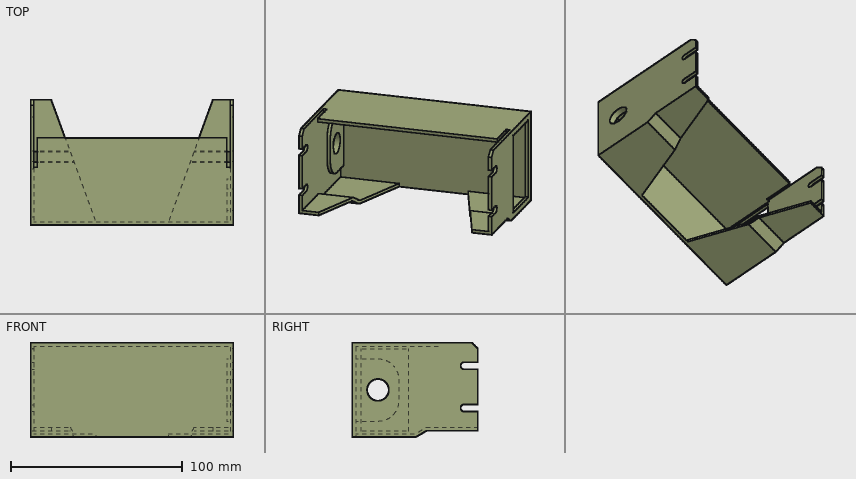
import cadquery as cq
import math

WIDTH = 118.0
DEPTH = 73.0
HEIGHT = 55.0
SHEET = 2.0

TOP_DEPTH = 50.7
GAP_FRONT_Y = 33.6

STEP_RISE = 3.7
STEP_FRONT_Y = 37.0
STEP_BACK_Y = 43.2

FLANGE_BACK_WIDTH = 12.0
FLANGE_TAPER_ANGLE = 20

SLOT_WIDTH = 4.0
SLOT_DEPTH = 9.9
SLOT_HEIGHTS = (17.0, 41.5)
WALL_CHAMFER = 3.4

WINDOW_FRONT_Y = 5.0
WINDOW_BACK_Y = 32.7
WINDOW_MARGIN = 3.7

PAD_HEIGHT = 36.2
PAD_RADIUS = 12.0
HOLE_DIAMETER = 12.5
HOLE_Y = 15.0
PAD_BACK_Y = HOLE_Y + PAD_RADIUS

MID_Z = HEIGHT / 2


def box(x_range, y_range, z_range):
    """Box spanning the given (low, high) ranges."""
    (x0, x1), (y0, y1), (z0, z1) = x_range, y_range, z_range
    return cq.Workplane("XY").box(x1 - x0, y1 - y0, z1 - z0, centered=False).translate((x0, y0, z0))


def side_wall(x):
    """Side wall with a stepped lower edge, starting at x."""
    outline = [
        (0, 0),
        (STEP_FRONT_Y, 0),
        (STEP_BACK_Y, STEP_RISE),
        (DEPTH, STEP_RISE),
        (DEPTH, HEIGHT - WALL_CHAMFER),
        (DEPTH - WALL_CHAMFER, HEIGHT),
        (0, HEIGHT),
    ]
    wall = cq.Workplane("YZ", origin=(x, 0, 0)).polyline(outline).close().extrude(SHEET)
    for z in SLOT_HEIGHTS:
        slot = (
            cq.Workplane("YZ", origin=(x, DEPTH, z))
            .slot2D(2 * SLOT_DEPTH, SLOT_WIDTH)
            .extrude(SHEET)
        )
        wall = wall.cut(slot)
    return wall


def top_panel():
    """Top panel, separated from the side walls by a gap at the back."""
    z_range = (HEIGHT - SHEET, HEIGHT)
    joined_part = box((0, WIDTH), (0, GAP_FRONT_Y), z_range)
    free_part = box((2 * SHEET, WIDTH - 2 * SHEET), (0, TOP_DEPTH), z_range)
    return joined_part.union(free_part)


def floor_flanges():
    """Stepped floor, cut by a tapered opening into a left and a right flange."""
    bend_angle = math.atan2(STEP_RISE, STEP_BACK_Y - STEP_FRONT_Y)
    bend_shift = SHEET * math.tan(bend_angle / 2)
    profile = [
        (0, 0),
        (STEP_FRONT_Y, 0),
        (STEP_BACK_Y, STEP_RISE),
        (DEPTH, STEP_RISE),
        (DEPTH, STEP_RISE + SHEET),
        (STEP_BACK_Y - bend_shift, STEP_RISE + SHEET),
        (STEP_FRONT_Y - bend_shift, SHEET),
        (0, SHEET),
    ]
    floor = cq.Workplane("YZ").polyline(profile).close().extrude(WIDTH)
    front_width = FLANGE_BACK_WIDTH + DEPTH * math.tan(math.radians(FLANGE_TAPER_ANGLE))
    opening = (
        cq.Workplane("XY")
        .polyline([
            (front_width, 0),
            (WIDTH - front_width, 0),
            (WIDTH - FLANGE_BACK_WIDTH, DEPTH),
            (FLANGE_BACK_WIDTH, DEPTH),
        ])
        .close()
        .extrude(HEIGHT)
    )
    return floor.cut(opening)


def pad():
    """Pad on the right wall, reaching from the front panel, with round back corners."""
    z_range = (MID_Z - PAD_HEIGHT / 2, MID_Z + PAD_HEIGHT / 2)
    plate = box((WIDTH - 2 * SHEET, WIDTH - SHEET), (0, PAD_BACK_Y), z_range)
    return plate.edges("|X and >Y").fillet(PAD_RADIUS)


front_panel = box((0, WIDTH), (0, SHEET), (0, HEIGHT))
window = box((0, SHEET), (WINDOW_FRONT_Y, WINDOW_BACK_Y), (WINDOW_MARGIN, HEIGHT - WINDOW_MARGIN))
hole = (
    cq.Workplane("YZ", origin=(WIDTH - 2 * SHEET, HOLE_Y, MID_Z))
    .circle(HOLE_DIAMETER / 2)
    .extrude(2 * SHEET)
)

result = (
    front_panel.union(side_wall(0))
    .union(side_wall(WIDTH - SHEET))
    .union(top_panel())
    .union(floor_flanges())
    .union(pad())
    .cut(window)
    .cut(hole)
)